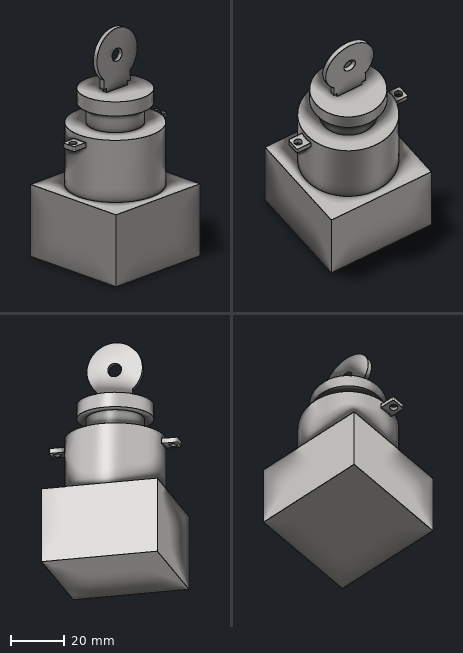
import cadquery as cq

TOTAL_HEIGHT = 92.0
LUG_SPAN = 50.0

BLOCK_SIDE = 45.0
BLOCK_HEIGHT = 29.0

BARREL_DIAMETER = 38.0
BARREL_HEIGHT = 24.9
LUG_WIDTH = 6.0
LUG_THICKNESS = 2.0
LUG_DROP = 2.2
LUG_CORNER = 0.55
LUG_HOLE_DIAMETER = 3.0
LUG_HOLE_INSET = 2.5

NECK_DIAMETER = 22.0
NECK_HEIGHT = 8.0
CAP_DIAMETER = 29.0
CAP_HEIGHT = 5.7

KEY_THICKNESS = 2.0
KEY_HEAD_DIAMETER = 21.6
KEY_HOLE_DIAMETER = 5.2
KEY_STEM_WIDTH = 14.1
KEY_BLADE_WIDTH = 11.2
KEY_SHOULDER_HEIGHT = 1.5

BARREL_BASE = BLOCK_HEIGHT
NECK_BASE = BARREL_BASE + BARREL_HEIGHT
CAP_BASE = NECK_BASE + NECK_HEIGHT
KEY_BASE = CAP_BASE + CAP_HEIGHT


def make_cylinder(diameter, height, base):
    """Upright cylinder on the main axis."""
    return cq.Workplane("XY", origin=(0, 0, base)).circle(diameter / 2).extrude(height)


def make_block():
    return cq.Workplane("XY").rect(BLOCK_SIDE, BLOCK_SIDE).extrude(BLOCK_HEIGHT)


def make_barrel():
    """Barrel with two drilled lugs that are part of it."""
    barrel = make_cylinder(BARREL_DIAMETER, BARREL_HEIGHT, BARREL_BASE)
    lug_base = NECK_BASE - LUG_DROP - LUG_THICKNESS
    lug_plane = cq.Workplane("XY", origin=(0, 0, lug_base))
    hole_y = LUG_SPAN / 2 - LUG_HOLE_INSET

    bar = lug_plane.rect(LUG_WIDTH, LUG_SPAN).extrude(LUG_THICKNESS)
    bar = bar.edges("|Z").fillet(LUG_CORNER)
    holes = (
        lug_plane.pushPoints([(0, -hole_y), (0, hole_y)])
        .circle(LUG_HOLE_DIAMETER / 2)
        .extrude(LUG_THICKNESS)
    )
    return barrel.union(bar).cut(holes)


def make_key_bar(width, base, top):
    """Flat rectangular length of the key, centred on the main axis."""
    plane = cq.Workplane("XY", origin=(0, 0, base))
    return plane.rect(KEY_THICKNESS, width).extrude(top - base)


def make_key():
    """Flat key standing on the cap: blade, wider stem and round drilled head."""
    head_centre = TOTAL_HEIGHT - KEY_HEAD_DIAMETER / 2
    stem_base = KEY_BASE + KEY_SHOULDER_HEIGHT
    head_plane = cq.Workplane("YZ", origin=(-KEY_THICKNESS / 2, 0, head_centre))

    blade = make_key_bar(KEY_BLADE_WIDTH, KEY_BASE, stem_base)
    stem = make_key_bar(KEY_STEM_WIDTH, stem_base, head_centre)
    head = head_plane.circle(KEY_HEAD_DIAMETER / 2).extrude(KEY_THICKNESS)
    hole = head_plane.circle(KEY_HOLE_DIAMETER / 2).extrude(KEY_THICKNESS)
    return head.union(stem).union(blade).cut(hole)


block = make_block()
barrel = make_barrel()
neck = make_cylinder(NECK_DIAMETER, NECK_HEIGHT, NECK_BASE)
cap = make_cylinder(CAP_DIAMETER, CAP_HEIGHT, CAP_BASE)
key = make_key()

result = cq.Compound.makeCompound([block.val(), barrel.val(), neck.val(), cap.val(), key.val()])